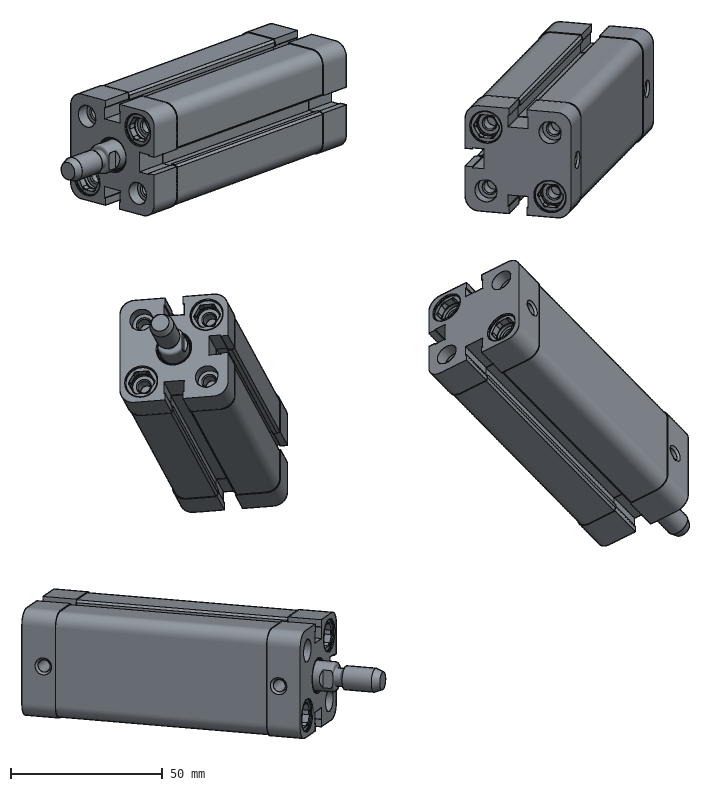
import cadquery as cq
import math


TOTAL_LENGTH = 119.6
ROD_REACH = 22.5
CAP_LENGTH = 11.7
HOUSING_LENGTH = TOTAL_LENGTH - ROD_REACH
BARREL_LENGTH = HOUSING_LENGTH - 2 * CAP_LENGTH

CAP_WIDTH = 36.4
CAP_CORNER_RADIUS = 4.8
BARREL_INSET = 0.3
BARREL_WIDTH = CAP_WIDTH - 2 * BARREL_INSET
BARREL_CORNER_RADIUS = CAP_CORNER_RADIUS - BARREL_INSET

SLOT_SIDE_ANGLES = (0, 90, 180)
SLOT_INNER_WIDTH = 6.8
SLOT_LIP_DEPTH = 2.5
CAP_SLOT_DEPTH = 6.5
CAP_SLOT_MOUTH = 6.1
BARREL_SLOT_DEPTH = 6.2
BARREL_SLOT_MOUTH = 5.4
BARREL_MOUTH_FLARE = 0.78

CORNER_HOLE_OFFSET = 11.0
CORNER_BORE_DIAMETER = 7.5
CORNER_BORE_DEPTH = 4.3
THREAD_MOUTH_DIAMETER = 5.0
THREAD_DIAMETER = 4.2
THREAD_DEPTH = 4.8

RECESS_MOUTH_DIAMETER = 11.1
RECESS_DIAMETER = 10.5
RECESS_DEPTH = 0.7
HEX_ACROSS_FLATS = 7.9
HEX_TRIM_MOUTH = 9.0
HEX_TRIM_DIAMETER = 8.4
HEX_DEPTH = 3.1

PORT_MOUTH_DIAMETER = 5.7
PORT_DIAMETER = 4.2
PORT_OFFSET = 7.5

SEAT_MOUTH_DIAMETER = 12.0
SEAT_DIAMETER = 11.4
SEAT_DEPTH = 0.7
SEAL_GAP_DIAMETER = 10.5
SEAL_GAP_DEPTH = 1.4

ROD_DIAMETER = 10.0
ROD_END = 6.5
ROD_END_FILLET = 1.0
ROD_BACK_WALL = 3.0
ROD_BURIED_LENGTH = HOUSING_LENGTH - ROD_BACK_WALL
FLATS_WIDTH = 8.0
FLATS_START = 3.1
STUD_DIAMETER = 8.0
STUD_START = 9.7
STUD_CHAMFER_START = 19.9
NECK_DIAMETER = 6.1
NECK_FILLET = 0.4
STUD_TIP_DIAMETER = 6.0
NECK_CONE_LENGTH = (STUD_DIAMETER - NECK_DIAMETER) / 2


def cylinder(diameter, start, depth, x=0.0, z=0.0):
    """Cylinder along +Y that starts at Y = start."""
    solid = cq.Solid.makeCylinder(diameter / 2, depth, cq.Vector(x, start, z), cq.Vector(0, 1, 0))
    return cq.Workplane(obj=solid)


def countersink(mouth, small, start, x=0.0, z=0.0):
    """45 degree cone along +Y, narrowing from mouth to small diameter."""
    depth = (mouth - small) / 2
    solid = cq.Solid.makeCone(mouth / 2, small / 2, depth, cq.Vector(x, start, z), cq.Vector(0, 1, 0))
    return cq.Workplane(obj=solid)


def section_plane(y):
    """Plane across the axis, with local x along -X, local y along Z and extrusion along +Y."""
    return cq.Workplane(cq.Plane(origin=(0, y, 0), xDir=(-1, 0, 0), normal=(0, 1, 0)))


def slot_cutter(start, length, width, depth, mouth, flare):
    """T-slot in the +Z side of a square section; depth and lip are measured from the cap surface."""
    surface = width / 2
    floor = CAP_WIDTH / 2 - depth
    lip = CAP_WIDTH / 2 - SLOT_LIP_DEPTH
    right_side = [
        (SLOT_INNER_WIDTH / 2, floor),
        (SLOT_INNER_WIDTH / 2, lip),
        (mouth / 2, lip),
        (mouth / 2, surface - flare),
        (mouth / 2 + flare, surface),
    ]
    if flare == 0:
        right_side.pop()
    left_side = [(-x, z) for x, z in reversed(right_side)]
    return section_plane(start).polyline(right_side + left_side).close().extrude(length)


def square_bar(start, length, width, corner_radius, slot_depth, slot_mouth, slot_flare):
    """Rounded square bar along Y with the sensor slots cut in three sides."""
    bar = section_plane(start).rect(width, width).extrude(length).edges("|Y").fillet(corner_radius)
    slot = slot_cutter(start, length, width, slot_depth, slot_mouth, slot_flare)
    for angle in SLOT_SIDE_ANGLES:
        bar = bar.cut(slot.rotate((0, 0, 0), (0, 1, 0), angle))
    return bar


def corner_hole(x, z):
    """Plain bore with a narrower chamfered thread hole at its bottom."""
    return (
        cylinder(CORNER_BORE_DIAMETER, 0, CORNER_BORE_DEPTH, x, z)
        .union(countersink(THREAD_MOUTH_DIAMETER, THREAD_DIAMETER, CORNER_BORE_DEPTH, x, z))
        .union(cylinder(THREAD_DIAMETER, CORNER_BORE_DEPTH, THREAD_DEPTH, x, z))
    )


def hex_recess(x, z):
    """Round recess with a chamfered mouth and a corner-trimmed hexagon sunk in its floor."""
    hex_corners = HEX_ACROSS_FLATS / math.cos(math.radians(30))
    hexagon = section_plane(0).center(-x, z).polygon(6, hex_corners).extrude(HEX_DEPTH)
    corner_trim = cylinder(HEX_TRIM_DIAMETER, 0, HEX_DEPTH, x, z).union(
        countersink(HEX_TRIM_MOUTH, HEX_TRIM_DIAMETER, RECESS_DEPTH, x, z)
    )
    return (
        hexagon.intersect(corner_trim)
        .union(cylinder(RECESS_DIAMETER, 0, RECESS_DEPTH, x, z))
        .union(countersink(RECESS_MOUTH_DIAMETER, RECESS_DIAMETER, 0, x, z))
    )


def air_port():
    """Chamfered radial hole from the -X side to the axis."""
    face_x = -CAP_WIDTH / 2
    inward = cq.Vector(1, 0, 0)
    mouth = cq.Vector(face_x, PORT_OFFSET, 0)
    chamfer = (PORT_MOUTH_DIAMETER - PORT_DIAMETER) / 2
    cone = cq.Solid.makeCone(PORT_MOUTH_DIAMETER / 2, PORT_DIAMETER / 2, chamfer, mouth, inward)
    hole = cq.Solid.makeCylinder(PORT_DIAMETER / 2, -face_x, mouth, inward)
    return cq.Workplane(obj=hole).union(cq.Workplane(obj=cone))


def make_cap():
    """End cap with its outer face at Y = 0, before the rod hole is cut."""
    cap = square_bar(0, CAP_LENGTH, CAP_WIDTH, CAP_CORNER_RADIUS, CAP_SLOT_DEPTH, CAP_SLOT_MOUTH, 0)
    for x_side in (-1, 1):
        for z_side in (-1, 1):
            x = x_side * CORNER_HOLE_OFFSET
            z = z_side * CORNER_HOLE_OFFSET
            cap = cap.cut(corner_hole(x, z))
            if x_side == z_side:
                cap = cap.cut(hex_recess(x, z))
    return cap.cut(air_port())


def make_front_cap(rod_hole):
    """Front cap with the rod hole and a chamfered annular seat around the rod."""
    return (
        make_cap()
        .cut(rod_hole)
        .cut(cylinder(SEAL_GAP_DIAMETER, 0, SEAL_GAP_DEPTH))
        .cut(cylinder(SEAT_DIAMETER, 0, SEAT_DEPTH))
        .cut(countersink(SEAT_MOUTH_DIAMETER, SEAT_DIAMETER, 0))
    )


def make_rear_cap(rod_hole):
    """The same cap mirrored to the far end, with a blind hole for the rod."""
    return make_cap().mirror("XZ").translate((0, HOUSING_LENGTH, 0)).cut(rod_hole)


def make_barrel(rod_hole):
    """Slotted barrel between the caps."""
    barrel = square_bar(
        CAP_LENGTH,
        BARREL_LENGTH,
        BARREL_WIDTH,
        BARREL_CORNER_RADIUS,
        BARREL_SLOT_DEPTH,
        BARREL_SLOT_MOUTH,
        BARREL_MOUTH_FLARE,
    )
    return barrel.cut(rod_hole)


def wrench_flat_cutter():
    """Cutter for the +X wrench flat, with a 45 degree run-out toward the cap."""
    run_out = (ROD_DIAMETER - FLATS_WIDTH) / 2
    outline = [
        (FLATS_WIDTH / 2, -ROD_END),
        (FLATS_WIDTH / 2, -FLATS_START),
        (ROD_DIAMETER / 2, -FLATS_START + run_out),
        (ROD_DIAMETER / 2, -ROD_END),
    ]
    return cq.Workplane("XY").polyline(outline).close().extrude(ROD_DIAMETER / 2, both=True)


def make_rod():
    """Rod with rounded shoulder and wrench flats, then a neck and a chamfered stud."""
    rod = cylinder(ROD_DIAMETER, -ROD_END, ROD_END + ROD_BURIED_LENGTH)
    rod = rod.faces("<Y").edges().fillet(ROD_END_FILLET)
    flat = wrench_flat_cutter()
    rod = rod.cut(flat).cut(flat.mirror("YZ"))
    stud_outline = [
        (0, -ROD_END),
        (NECK_DIAMETER / 2, -ROD_END),
        (NECK_DIAMETER / 2, -STUD_START + NECK_CONE_LENGTH),
        (STUD_DIAMETER / 2, -STUD_START),
        (STUD_DIAMETER / 2, -STUD_CHAMFER_START),
        (STUD_TIP_DIAMETER / 2, -ROD_REACH),
        (0, -ROD_REACH),
    ]
    stud = cq.Workplane("XY").polyline(stud_outline).close().revolve(360, (0, 0, 0), (0, 1, 0))
    neck_ends = cq.selectors.BoxSelector(
        (-STUD_DIAMETER / 2, -STUD_START + NECK_FILLET, -STUD_DIAMETER / 2),
        (STUD_DIAMETER / 2, -ROD_END + NECK_FILLET, STUD_DIAMETER / 2),
    )
    neck_circle = cq.selectors.RadiusNthSelector(0)
    return rod.union(stud).edges(neck_ends).edges("%CIRCLE").edges(neck_circle).fillet(NECK_FILLET)


rod_hole = cylinder(ROD_DIAMETER, 0, ROD_BURIED_LENGTH)
front_cap = make_front_cap(rod_hole)
rear_cap = make_rear_cap(rod_hole)
barrel = make_barrel(rod_hole)
rod = make_rod()

result = cq.Compound.makeCompound([front_cap.val(), barrel.val(), rear_cap.val(), rod.val()])